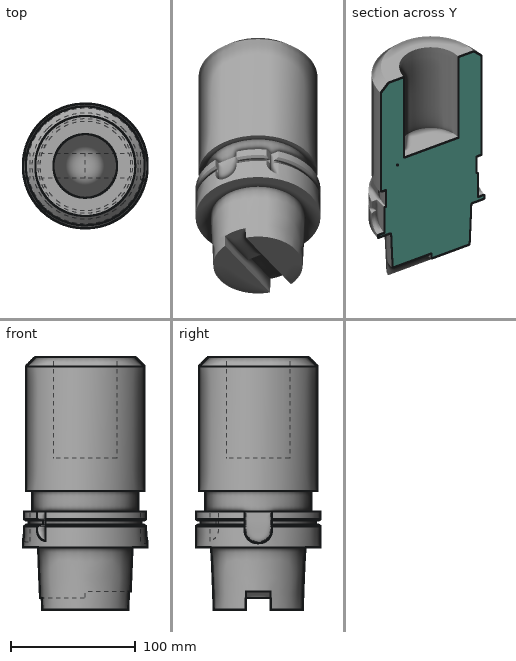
import cadquery as cq

flange_bottom = 50.0
groove_bottom = 66.8
groove_top = 72.9
flange_top = 79.0
head_bottom = 95.1
total_height = 202.5

shank_bottom_radius = 35.8
shank_top_radius = 37.8
flange_radius = 50.0
groove_radius = 46.3
groove_ledge_radius = 48.0
groove_chamfer_height = 1.5
neck_radius = 42.5
head_radius = 47.5
head_chamfer = 7.5

bore_radius = 25.5
bore_depth = 81.0

slot_center_height = 64.4
left_slot_width = 19.6
right_slot_width = 22.0
slot_floor = 44.1
corner_notch_offset = 31.8

drive_slot_width = 19.6
left_drive_depth = 9.5
right_drive_depth = 14.5


def turned_body():
    profile = [
        (0, 0),
        (shank_bottom_radius, 0),
        (shank_top_radius, flange_bottom),
        (flange_radius, flange_bottom),
        (flange_radius, groove_bottom),
        (groove_ledge_radius, groove_bottom + groove_chamfer_height),
        (groove_radius, groove_bottom + groove_chamfer_height),
        (groove_radius, groove_top - groove_chamfer_height),
        (groove_ledge_radius, groove_top - groove_chamfer_height),
        (flange_radius, groove_top),
        (flange_radius, flange_top),
        (neck_radius, flange_top),
        (neck_radius, head_bottom),
        (head_radius, head_bottom),
        (head_radius, total_height - head_chamfer),
        (head_radius - head_chamfer, total_height),
        (0, total_height),
    ]
    return cq.Workplane("XZ").polyline(profile).close().revolve(360, (0, 0, 0), (0, 1, 0))


def bore():
    return cq.Workplane("XY", origin=(0, 0, total_height - bore_depth)).circle(bore_radius).extrude(bore_depth)


def flange_slot(side, floor, center_y, width):
    """Slot with a round lower end, open at the flange top; side is -1 for -X and 1 for +X."""
    depth = side * (flange_radius - floor)
    plane = cq.Workplane("YZ", origin=(side * floor, center_y, slot_center_height))
    round_end = plane.circle(width / 2).extrude(depth)
    height = flange_top - slot_center_height
    straight = plane.center(0, height / 2).rect(width, height).extrude(depth)
    return round_end.union(straight)


def drive_slot(side, depth):
    """Slot from the axis out through one side of the shank bottom."""
    return (
        cq.Workplane("YZ")
        .center(0, depth / 2)
        .rect(drive_slot_width, depth)
        .extrude(side * shank_top_radius)
    )


result = (
    turned_body()
    .cut(bore())
    .cut(flange_slot(-1, slot_floor, 0, left_slot_width))
    .cut(flange_slot(1, slot_floor, 0, right_slot_width))
    .cut(flange_slot(-1, corner_notch_offset, -corner_notch_offset - left_slot_width / 2, left_slot_width))
    .cut(drive_slot(-1, left_drive_depth))
    .cut(drive_slot(1, right_drive_depth))
)